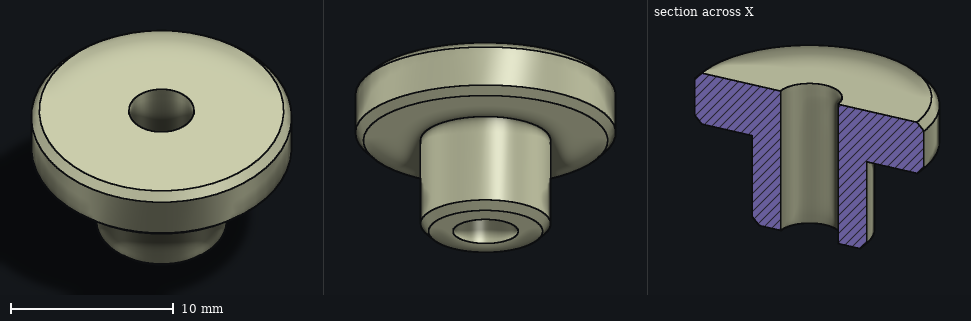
import cadquery as cq

flange_diameter = 16.0
stem_diameter = flange_diameter / 2
bore_diameter = flange_diameter / 4
total_height = 9.5
stem_length = 6.0
flange_thickness = total_height - stem_length
chamfer_size = 0.5

stem = cq.Workplane("XY").circle(stem_diameter / 2).extrude(stem_length)
stem = stem.faces("<Z").edges().chamfer(chamfer_size)

flange = (
    cq.Workplane("XY")
    .workplane(offset=stem_length)
    .circle(flange_diameter / 2)
    .extrude(flange_thickness)
    .edges()
    .chamfer(chamfer_size)
)

bore = cq.Workplane("XY").circle(bore_diameter / 2).extrude(total_height)

result = stem.union(flange).cut(bore)